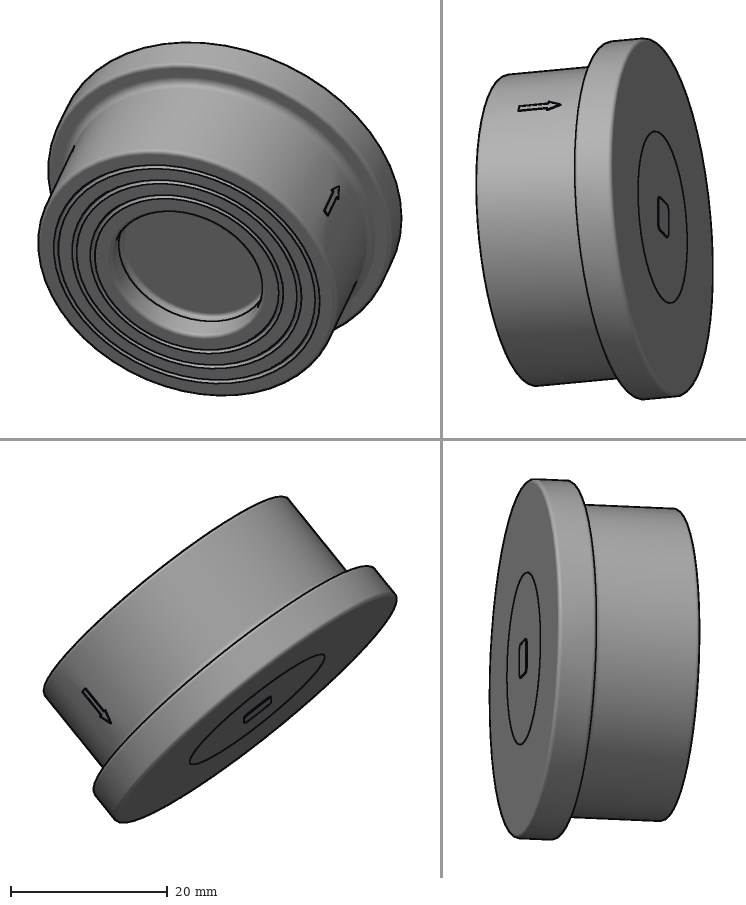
import cadquery as cq
FLANGE_DIAMETER = 45.95
BARREL_DIAMETER = 40.0
FLANGE_THICKNESS = 5.0
BARREL_LENGTH = 14.0
TOTAL_LENGTH = BARREL_LENGTH + FLANGE_THICKNESS
EDGE_RADIUS = 0.5
NECK_RADIUS = 2 * EDGE_RADIUS

BORE_DIAMETER = 20.0
SEAT_DIAMETER = 22.0
SEAT_DEPTH = 3.0

GROOVE_COUNT = 3
GROOVE_WIDTH = 0.6
GROOVE_WALL_DEPTH = 0.2
FIRST_GROOVE_RADIUS = 12.6
GROOVE_PITCH = 2.45

DISH_DEPTH = 1.0

RAISED_HEIGHT = 0.15
PAD_SIDE = 4.35
PAD_CORNER_CHAMFER = 0.45
ARROW_ANGLE = 31.6
ARROW_TAIL_Y = 4.95
ARROW_LENGTH = 5.55
ARROW_HEAD_LENGTH = 1.7
ARROW_HEAD_WIDTH = 1.6
ARROW_SHAFT_WIDTH = 0.87


def cylinder(diameter, start_y, end_y):
    """Solid cylinder on the Y axis between two Y positions."""
    return cq.Workplane("XZ", origin=(0, start_y, 0)).circle(diameter / 2).extrude(start_y - end_y)


def make_turned_blank():
    """Flange and barrel with rounded rims and a filleted neck between them."""
    flange = cylinder(FLANGE_DIAMETER, BARREL_LENGTH, TOTAL_LENGTH).edges("%CIRCLE").fillet(EDGE_RADIUS)
    barrel = cylinder(BARREL_DIAMETER, 0, BARREL_LENGTH).faces("<Y").edges("%CIRCLE").fillet(EDGE_RADIUS)
    barrel_radius = BARREL_DIAMETER / 2
    neck_ring = (
        cq.Workplane("XY")
        .moveTo(0, BARREL_LENGTH)
        .lineTo(barrel_radius + NECK_RADIUS, BARREL_LENGTH)
        .radiusArc((barrel_radius, BARREL_LENGTH - NECK_RADIUS), -NECK_RADIUS)
        .lineTo(0, BARREL_LENGTH - NECK_RADIUS)
        .close()
        .revolve(360, (0, 0, 0), (0, 1, 0))
    )
    return flange.union(barrel).union(neck_ring)


def make_groove_cutter(centre_radius):
    """Ring with straight side walls and a half-round bottom, sunk into the front face."""
    half_width = GROOVE_WIDTH / 2
    return (
        cq.Workplane("XY")
        .moveTo(centre_radius - half_width, 0)
        .lineTo(centre_radius - half_width, GROOVE_WALL_DEPTH)
        .threePointArc(
            (centre_radius, GROOVE_WALL_DEPTH + half_width),
            (centre_radius + half_width, GROOVE_WALL_DEPTH),
        )
        .lineTo(centre_radius + half_width, 0)
        .close()
        .revolve(360, (0, 0, 0), (0, 1, 0))
    )


def make_arrow():
    """Arrow raised on the barrel, pointing toward the flange."""
    head_base = ARROW_LENGTH - ARROW_HEAD_LENGTH
    outline = [
        (0, ARROW_LENGTH),
        (ARROW_HEAD_WIDTH / 2, head_base),
        (ARROW_SHAFT_WIDTH / 2, head_base),
        (ARROW_SHAFT_WIDTH / 2, 0),
        (-ARROW_SHAFT_WIDTH / 2, 0),
        (-ARROW_SHAFT_WIDTH / 2, head_base),
        (-ARROW_HEAD_WIDTH / 2, head_base),
    ]
    top_radius = BARREL_DIAMETER / 2 + RAISED_HEIGHT
    prism = (
        cq.Workplane("XY", origin=(0, ARROW_TAIL_Y, BARREL_DIAMETER / 4))
        .polyline(outline)
        .close()
        .extrude(BARREL_DIAMETER / 2)
    )
    raised_skin = cylinder(2 * top_radius, 0, TOTAL_LENGTH).cut(cylinder(BARREL_DIAMETER, 0, TOTAL_LENGTH))
    return prism.intersect(raised_skin).rotate((0, 0, 0), (0, 1, 0), 90 - ARROW_ANGLE)


def make_housing():
    """Flanged ring with a rounded front opening, a wider rear seat, grooves and an arrow."""
    bore = cylinder(BORE_DIAMETER, 0, SEAT_DEPTH)
    seat = cylinder(SEAT_DIAMETER, SEAT_DEPTH, TOTAL_LENGTH)
    body = make_turned_blank().cut(bore)
    body = body.faces("<Y").edges(cq.selectors.RadiusNthSelector(0)).fillet(EDGE_RADIUS)
    body = body.cut(seat)
    for index in range(GROOVE_COUNT):
        body = body.cut(make_groove_cutter(FIRST_GROOVE_RADIUS + index * GROOVE_PITCH))
    return body.union(make_arrow())


def make_insert():
    """Plug filling the rear seat, dished at the front and carrying the pad at the back."""
    dish = cylinder(BORE_DIAMETER, SEAT_DEPTH, SEAT_DEPTH + DISH_DEPTH)
    dish = dish.faces(">Y").edges("%CIRCLE").fillet(EDGE_RADIUS)
    pad = (
        cq.Workplane("XZ", origin=(0, TOTAL_LENGTH, 0))
        .rect(PAD_SIDE, PAD_SIDE)
        .extrude(-RAISED_HEIGHT)
        .edges("|Y")
        .chamfer(PAD_CORNER_CHAMFER)
    )
    return cylinder(SEAT_DIAMETER, SEAT_DEPTH, TOTAL_LENGTH).cut(dish).union(pad)


housing = make_housing()
insert = make_insert()

result = cq.Compound.makeCompound([housing.val(), insert.val()])